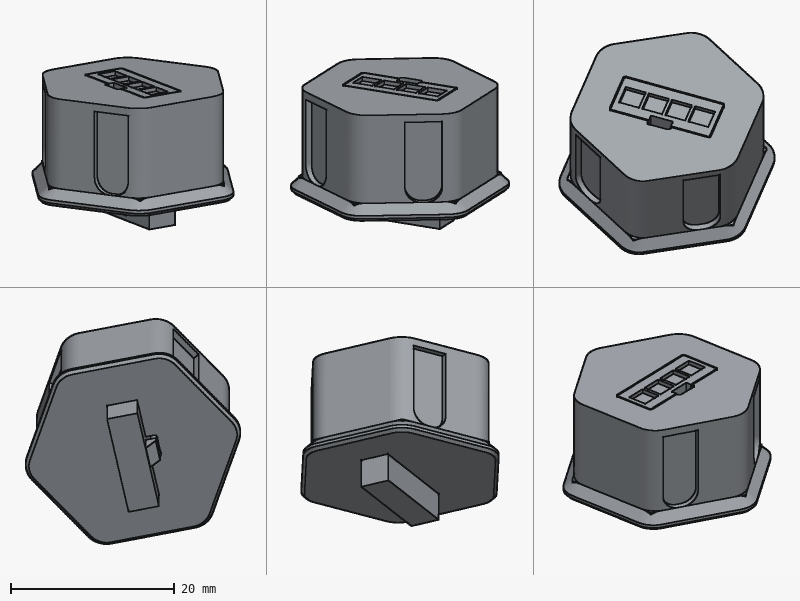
import math

import cadquery as cq

HOUSING_HEIGHT = 13.4
FLANGE_HEIGHT = 2.0
CONNECTOR_DROP = 3.5

FLANGE_APOTHEM = 12.0
BODY_APOTHEM = 10.8
CORNER_RADIUS = 3.0
FLANGE_TOP_CHAMFER = FLANGE_APOTHEM - BODY_APOTHEM
FLANGE_BOTTOM_CHAMFER = 0.4

RECESS_DEPTH = 0.8
RECESS_WIDTH = 4.6
RECESS_CORNER_RADIUS = 2.0
RECESS_TOP_MARGIN = 1.0

CONNECTOR_LENGTH = 12.85
HEAD_DEPTH = 5.28
STEM_DEPTH = 3.8
LEDGE_Z = FLANGE_HEIGHT
CLEARANCE = 0.15
OPENING_CORNER_RADIUS = 0.35

CAVITY_COUNT = 4
CAVITY_PITCH = 3.0
CAVITY_LENGTH = 2.6
CAVITY_WIDTH = 2.52
CAVITY_DEPTH = 0.54

LATCH_WIDTH = 2.68
LATCH_REACH = 1.2
LATCH_TOP_Z = -0.55
LATCH_KNEE_Z = -1.35
LATCH_BOTTOM_Z = -2.9
LATCH_NOTCH_WIDTH = 2.85


def hexagon_prism(apothem, bottom_z, height):
    """Sharp-cornered hexagonal prism with two corners on the Y axis."""
    diameter = 2 * apothem / math.cos(math.pi / 6)
    prism = cq.Workplane("XY").polygon(6, diameter).extrude(height)
    return prism.rotate((0, 0, 0), (0, 0, 1), 90).translate((0, 0, bottom_z))


def rounded_hexagon_prism(apothem, bottom_z, height):
    return hexagon_prism(apothem, bottom_z, height).edges("|Z").fillet(CORNER_RADIUS)


def block(length, depth, bottom_z, top_z):
    """Box centred on the Z axis between two heights."""
    plan = cq.Workplane("XY").workplane(offset=bottom_z).rect(length, depth)
    return plan.extrude(top_z - bottom_z)


def make_flange():
    """Chamfered rim around a sharp-cornered hexagonal seat."""
    rim = rounded_hexagon_prism(FLANGE_APOTHEM, 0, FLANGE_HEIGHT)
    rim = rim.faces(">Z").chamfer(FLANGE_TOP_CHAMFER)
    rim = rim.faces("<Z").chamfer(FLANGE_BOTTOM_CHAMFER)
    seat = hexagon_prism(BODY_APOTHEM, FLANGE_BOTTOM_CHAMFER, FLANGE_HEIGHT - FLANGE_BOTTOM_CHAMFER)
    return rim.union(seat)


def make_side_recesses():
    """Cutters for the four recesses, mirrored about X = 0 and Y = 0."""
    height = HOUSING_HEIGHT - FLANGE_HEIGHT - RECESS_TOP_MARGIN
    window_depth = 4 * RECESS_DEPTH
    window = (
        cq.Workplane("XY")
        .box(RECESS_WIDTH, window_depth, height, centered=(False, True, False))
        .edges("|Y and <Z")
        .fillet(RECESS_CORNER_RADIUS)
        .translate((0, -BODY_APOTHEM, FLANGE_HEIGHT))
        .rotate((0, 0, 0), (0, 0, 1), 30)
    )
    core = rounded_hexagon_prism(BODY_APOTHEM - RECESS_DEPTH, 0, HOUSING_HEIGHT)
    front_right = window.cut(core)
    front_pair = [front_right, front_right.mirror("YZ")]
    back_pair = [recess.mirror("XZ") for recess in front_pair]
    return front_pair + back_pair


def rounded_block(length, depth, bottom_z, top_z):
    """Box with rounded upright edges, sized by the clearance beyond the given length and depth."""
    box = block(length + 2 * CLEARANCE, depth + 2 * CLEARANCE, bottom_z, top_z)
    return box.edges("|Z").fillet(OPENING_CORNER_RADIUS)


def make_connector_opening():
    """Stepped cutter: clearance around the head, latch and stem ends; the stem fits its long sides."""
    latch_slot_depth = STEM_DEPTH / 2 + LATCH_REACH
    head = rounded_block(CONNECTOR_LENGTH, HEAD_DEPTH, LEDGE_Z, HOUSING_HEIGHT)
    latch_slot = rounded_block(LATCH_WIDTH, latch_slot_depth, 0, HOUSING_HEIGHT)
    latch_slot = latch_slot.translate((0, -latch_slot_depth / 2, 0))
    stem = block(CONNECTOR_LENGTH + 2 * CLEARANCE, STEM_DEPTH, 0, LEDGE_Z)
    return head.union(latch_slot).union(stem)


def make_housing():
    body = rounded_hexagon_prism(BODY_APOTHEM, FLANGE_HEIGHT, HOUSING_HEIGHT - FLANGE_HEIGHT)
    housing = make_flange().union(body)
    for recess in make_side_recesses():
        housing = housing.cut(recess)
    return housing.cut(make_connector_opening())


def make_latch():
    """Wedge with a flat top and a sloped lower face."""
    root_y = -STEM_DEPTH / 2
    tip_y = root_y - LATCH_REACH
    outline = [
        (root_y, LATCH_TOP_Z),
        (tip_y, LATCH_TOP_Z),
        (tip_y, LATCH_KNEE_Z),
        (root_y, LATCH_BOTTOM_Z),
    ]
    return cq.Workplane("YZ").polyline(outline).close().extrude(LATCH_WIDTH / 2, both=True)


def make_connector():
    head = block(CONNECTOR_LENGTH, HEAD_DEPTH, LEDGE_Z, HOUSING_HEIGHT)
    stem = block(CONNECTOR_LENGTH, STEM_DEPTH, -CONNECTOR_DROP, LEDGE_Z)
    connector = head.union(stem).union(make_latch())

    notch_depth = (HEAD_DEPTH - STEM_DEPTH) / 2
    notch = block(LATCH_NOTCH_WIDTH, notch_depth, LEDGE_Z, HOUSING_HEIGHT)
    connector = connector.cut(notch.translate((0, -(HEAD_DEPTH - notch_depth) / 2, 0)))

    cavities = (
        cq.Workplane("XY")
        .workplane(offset=HOUSING_HEIGHT - CAVITY_DEPTH)
        .rarray(CAVITY_PITCH, 0.27, CAVITY_COUNT, 1)
        .rect(CAVITY_LENGTH, CAVITY_WIDTH)
        .extrude(CAVITY_DEPTH)
    )
    return connector.cut(cavities)


housing = make_housing()
connector = make_connector()

result = cq.Compound.makeCompound([housing.val(), connector.val()])